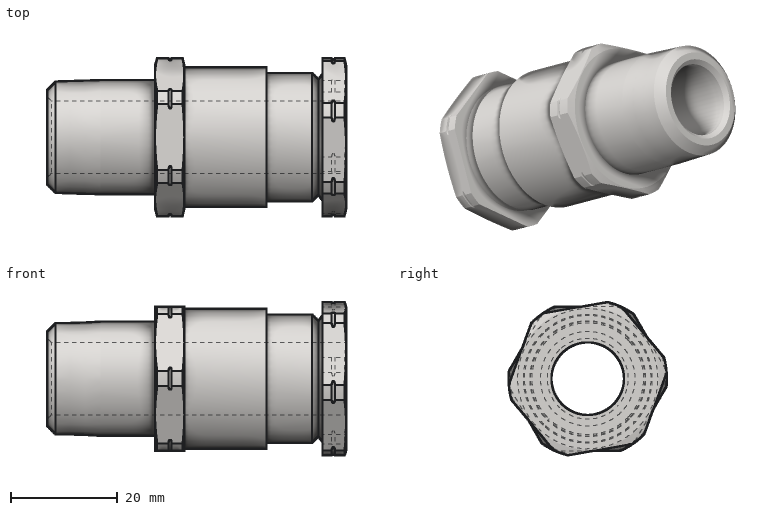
import cadquery as cq
import math


total_length = 56.0
thread_taper_end = 10.0
collar_start = 20.15
collar_end = 25.7
body_end = 41.1
neck_chamfer_start = 49.55
neck_end = 50.76
nut_start = 51.52

thread_radius = 10.72
body_radius = 13.13
neck_radius = 12.06
nut_collar_radius = 11.85

taper_per_length = 1 / 32
nose_chamfer = 1.6
nose_chamfer_end_radius = thread_radius - taper_per_length * (thread_taper_end - nose_chamfer)
nose_radius = nose_chamfer_end_radius - nose_chamfer

bore_radius = 6.77
bore_chamfer = 0.8

across_flats = 27.0
corner_radius = 14.845
face_radius = 13.35
collar_front_chamfer = 0.45
rear_chamfer = 0.35
nut_turn = 10.0
groove_radius = 0.3
collar_groove_x = 23.02
nut_groove_x = 53.56


def revolve_about_x(points):
    """Solid of revolution about X from (x, radius) points."""
    return cq.Workplane("XY").polyline(points).close().revolve(360, (0, 0, 0), (1, 0, 0))


def turned_body():
    """Outer stepped shape, including the V-shaped gap in front of the nut."""
    neck_end_radius = neck_radius - (neck_end - neck_chamfer_start)
    return revolve_about_x([
        (0, 0),
        (0, nose_radius),
        (nose_chamfer, nose_chamfer_end_radius),
        (thread_taper_end, thread_radius),
        (collar_start, thread_radius),
        (collar_start, body_radius),
        (body_end, body_radius),
        (body_end, neck_radius),
        (neck_chamfer_start, neck_radius),
        (neck_end, neck_end_radius),
        (nut_start, nut_collar_radius),
        (total_length, nut_collar_radius),
        (total_length, 0),
    ])


def hexagon(start, end, groove_x, front_chamfer, turn):
    """Hexagon with turned corners, chamfered faces and a round groove across each corner.

    A zero front chamfer leaves the front face square. At zero turn, two corners lie on Y.
    """
    corner_diameter = across_flats / math.cos(math.radians(30))
    prism = (
        cq.Workplane("YZ", origin=(start, 0, 0))
        .polygon(6, corner_diameter)
        .extrude(end - start)
        .rotate((0, 0, 0), (1, 0, 0), turn)
    )
    front_edge = [(start, corner_radius)]
    if front_chamfer > 0:
        front_edge = [(start, face_radius), (start + front_chamfer, corner_radius)]
    envelope = revolve_about_x([
        (start, 0),
        *front_edge,
        (end - rear_chamfer, corner_radius),
        (end, face_radius),
        (end, 0),
    ])
    groove = (
        cq.Workplane("XY")
        .center(groove_x, corner_radius)
        .circle(groove_radius)
        .revolve(360, (-groove_x, -corner_radius, 0), (1 - groove_x, -corner_radius, 0))
    )
    return prism.intersect(envelope).cut(groove)


def through_bore():
    """Bore through the whole part, chamfered at the front face."""
    return revolve_about_x([
        (0, 0),
        (0, bore_radius + bore_chamfer),
        (bore_chamfer, bore_radius),
        (total_length, bore_radius),
        (total_length, 0),
    ])


collar = hexagon(collar_start, collar_end, collar_groove_x, collar_front_chamfer, 0)
clamping_nut = hexagon(nut_start, total_length, nut_groove_x, 0, nut_turn)

result = turned_body().union(collar).union(clamping_nut).cut(through_bore())